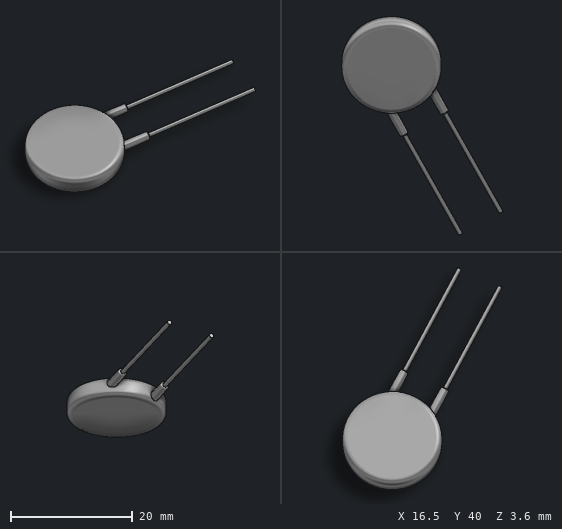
import cadquery as cq

disc_diameter = 16.5
disc_thickness = 3.6
disc_edge_radius = 1.0

overall_length = 40.0
lead_spacing = 7.5
lead_height_offset = 0.5
wire_diameter = 0.8

sleeve_diameter = 1.6
sleeve_tip_diameter = 1.5
sleeve_straight_end = 9.5
sleeve_tip_end = 11.75
sleeve_tip_fillet = 0.2

disc_radius = disc_diameter / 2
wire_end = overall_length - disc_radius
lead_start = disc_radius / 2


def make_disc():
    disc = cq.Workplane("XY").circle(disc_radius).extrude(disc_thickness / 2, both=True)
    return disc.edges().fillet(disc_edge_radius)


def cross_section(x, y, z):
    """Workplane facing +Y, centred on a lead axis."""
    return cq.Workplane(cq.Plane(origin=(x, y, z), xDir=(1, 0, 0), normal=(0, 1, 0)))


def make_lead(x, z):
    """Straight sleeve, slightly tapered sleeve tip with a rounded end, and bare wire."""
    straight = (
        cross_section(x, lead_start, z)
        .circle(sleeve_diameter / 2)
        .extrude(sleeve_straight_end - lead_start)
    )
    tip = (
        cross_section(x, sleeve_straight_end, z)
        .circle(sleeve_diameter / 2)
        .workplane(offset=sleeve_tip_end - sleeve_straight_end)
        .circle(sleeve_tip_diameter / 2)
        .loft(ruled=True)
        .faces(">Y")
        .edges()
        .fillet(sleeve_tip_fillet)
    )
    wire = cross_section(x, lead_start, z).circle(wire_diameter / 2).extrude(wire_end - lead_start)
    return straight.union(tip).union(wire)


result = make_disc()
for side in (-1, 1):
    result = result.union(make_lead(side * lead_spacing / 2, side * lead_height_offset))